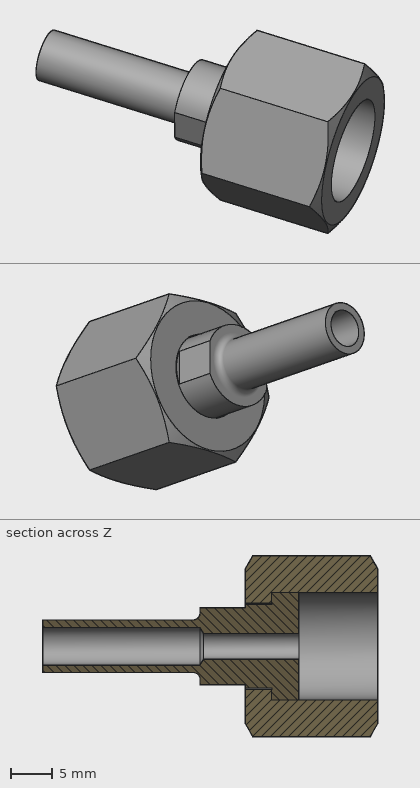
import cadquery as cq
import math

TOTAL_LENGTH = 40.7

NUT_FLATS = 19.05
NUT_LENGTH = 16.1
NUT_FACE_RADIUS = 9.4
NUT_CHAMFER_ANGLE = 30.0
NUT_HOLE_RADIUS = 5.25
NUT_WALL = 3.25
NUT_CAVITY_RADIUS = 6.5

TUBE_RADIUS = 3.2
COLLAR_START = 19.08
COLLAR_RADIUS = 5.13
COLLAR_FLATS = 9.35
TUBE_FILLET = 0.8
BORE_RADIUS = 2.28
PASSAGE_RADIUS = 1.55
DRILL_POINT_ANGLE = 118.0
HEAD_LENGTH = 3.25

nut_start = TOTAL_LENGTH - NUT_LENGTH
head_start = nut_start + NUT_WALL
head_end = head_start + HEAD_LENGTH


def cylinder(radius, start, end):
    """A solid cylinder around the X axis from one X position to another."""
    return cq.Workplane("YZ", origin=(start, 0, 0)).circle(radius).extrude(end - start)


def make_nut():
    """Hexagon nut with both ends chamfered, a hole for the collar and a cavity for the gland head."""
    corner_radius = NUT_FLATS / math.sqrt(3)
    hexagon = (
        cq.Workplane("YZ", origin=(nut_start, 0, 0))
        .polygon(6, 2 * corner_radius)
        .extrude(NUT_LENGTH)
    )
    chamfer_length = (corner_radius - NUT_FACE_RADIUS) * math.tan(math.radians(NUT_CHAMFER_ANGLE))
    envelope = (
        cq.Workplane("XY")
        .moveTo(nut_start, 0)
        .lineTo(nut_start, NUT_FACE_RADIUS)
        .lineTo(nut_start + chamfer_length, corner_radius)
        .lineTo(TOTAL_LENGTH - chamfer_length, corner_radius)
        .lineTo(TOTAL_LENGTH, NUT_FACE_RADIUS)
        .lineTo(TOTAL_LENGTH, 0)
        .close()
        .revolve(360, (0, 0, 0), (1, 0, 0))
    )
    hole = cylinder(NUT_HOLE_RADIUS, nut_start, TOTAL_LENGTH)
    cavity = cylinder(NUT_CAVITY_RADIUS, head_start, TOTAL_LENGTH)
    return hexagon.intersect(envelope).cut(hole).cut(cavity)


def make_gland():
    """Tube with a filleted root, a two-flat collar, a neck through the nut wall and a retained head."""
    tube = (
        cq.Workplane("XY")
        .lineTo(0, TUBE_RADIUS)
        .lineTo(COLLAR_START - TUBE_FILLET, TUBE_RADIUS)
        .radiusArc((COLLAR_START, TUBE_RADIUS + TUBE_FILLET), -TUBE_FILLET)
        .lineTo(COLLAR_START, 0)
        .close()
        .revolve(360, (0, 0, 0), (1, 0, 0))
    )
    collar = cylinder(COLLAR_RADIUS, COLLAR_START, nut_start)
    between_flats = (
        cq.Workplane("YZ", origin=(COLLAR_START, 0, 0))
        .rect(COLLAR_FLATS, 2 * COLLAR_RADIUS)
        .extrude(nut_start - COLLAR_START)
    )
    neck = cylinder(COLLAR_RADIUS, nut_start, head_start)
    head = cylinder(NUT_CAVITY_RADIUS, head_start, head_end)
    point_length = (BORE_RADIUS - PASSAGE_RADIUS) / math.tan(math.radians(DRILL_POINT_ANGLE / 2))
    bore = (
        cq.Workplane("XY")
        .lineTo(0, BORE_RADIUS)
        .lineTo(COLLAR_START, BORE_RADIUS)
        .lineTo(COLLAR_START + point_length, PASSAGE_RADIUS)
        .lineTo(head_end, PASSAGE_RADIUS)
        .lineTo(head_end, 0)
        .close()
        .revolve(360, (0, 0, 0), (1, 0, 0))
    )
    return tube.union(collar.intersect(between_flats)).union(neck).union(head).cut(bore)


nut = make_nut()
gland = make_gland()

result = cq.Compound.makeCompound([nut.val(), gland.val()])